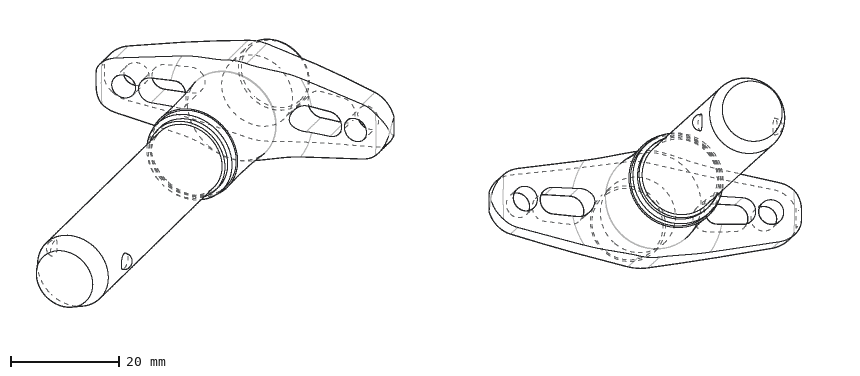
import cadquery as cq
import math


total_length = 96.8
pin_radius = 7.2
tip_radius = 5.7
tip_taper_length = 3.9
button_edge = 0.4

ball_radius = 1.5
ball_y = 11.4
ball_reach = 8.5

lip_radius = 7.7
lip_y = 56.2
step_radius = 8.6
step_y = 57.5
grip_bottom_radius = 8.9
grip_bottom_y = 59.4
grip_waist_radius = 8.8
grip_top_radius = 9.2
grip_top_y = 76.3

handle_span = 59.1
handle_half_span = handle_span / 2
handle_middle_radius = 10.2
handle_end_radius = 5.7
handle_crown_y = 88.8
crown_drop = 3.8
end_face_inset = 0.3
underside_end_y = 80.0
underside_angle = math.radians(5)
end_fillet = 2.1
end_face_lower_y = 82.7

bar_margin = 1.0
bar_bottom_allowance = 0.06
disc_radius = handle_half_span + 4.8

flare_radius = 4.8

hole_x = 23.4
hole_radius = 2.3
slot_outer_x = 18.0
slot_outer_radius = 2.5
slot_inner_x = 13.1
slot_inner_diameter = 5.3
slot_inner_radius = slot_inner_diameter / 2


def underside_y(x):
    """Height of the sloping handle underside at radius x from the axis."""
    return underside_end_y + (handle_half_span - x) * math.tan(underside_angle)


flare_center_x = grip_top_radius + flare_radius
flare_center_y = underside_y(flare_center_x) - flare_radius / math.cos(underside_angle)


def on_flare(angle):
    """Point on the flare arc, at an angle from the outward radial direction."""
    return (
        flare_center_x + flare_radius * math.cos(angle),
        flare_center_y + flare_radius * math.sin(angle),
    )


def tangent_hull(x1, radius1, x2, radius2):
    """XZ outline wrapping two circles centred on the X axis, with x1 < x2."""
    cosine = (radius1 - radius2) / (x2 - x1)
    sine = math.sqrt(1 - cosine**2)
    return (
        cq.Workplane("XZ")
        .moveTo(x1 + radius1 * cosine, radius1 * sine)
        .lineTo(x2 + radius2 * cosine, radius2 * sine)
        .threePointArc((x2 + radius2, 0), (x2 + radius2 * cosine, -radius2 * sine))
        .lineTo(x1 + radius1 * cosine, -radius1 * sine)
        .threePointArc((x1 - radius1, 0), (x1 + radius1 * cosine, radius1 * sine))
        .close()
    )


def both_sides(body):
    return body.union(body.mirror("YZ"))


def full_height(outline):
    """Extrude an XZ outline along the whole length of the part."""
    return outline.extrude(-total_length)


def make_handle():
    top_end_x = handle_half_span - end_face_inset
    top_end_y = handle_crown_y - crown_drop
    crown_radius = (top_end_x**2 + crown_drop**2) / (2 * crown_drop)
    middle_x = top_end_x / 2
    middle_y = handle_crown_y - crown_radius + math.sqrt(crown_radius**2 - middle_x**2)
    end_x = handle_half_span - handle_end_radius

    fillet_end_x = handle_half_span - end_fillet
    bar_bottom_y = underside_y(fillet_end_x) - bar_bottom_allowance

    half_bar = (
        cq.Workplane("XY")
        .moveTo(0, grip_top_y)
        .lineTo(0, handle_crown_y)
        .threePointArc((middle_x, middle_y), (top_end_x, top_end_y))
        .lineTo(handle_half_span, end_face_lower_y)
        .lineTo(handle_half_span, bar_bottom_y + end_fillet)
        .tangentArcPoint((fillet_end_x, bar_bottom_y), relative=False)
        .lineTo(end_x, bar_bottom_y)
        .lineTo(end_x, grip_top_y)
        .close()
        .extrude(handle_middle_radius + bar_margin, both=True)
    )

    disc = (
        cq.Workplane("XY")
        .moveTo(0, grip_top_y)
        .lineTo(grip_top_radius, grip_top_y)
        .lineTo(*on_flare(math.pi))
        .threePointArc(on_flare(math.radians(135)), on_flare(math.pi / 2 - underside_angle))
        .lineTo(disc_radius, underside_y(disc_radius))
        .lineTo(disc_radius, total_length)
        .lineTo(0, total_length)
        .close()
        .revolve(360, (0, 0, 0), (0, 1, 0))
    )
    arm = full_height(tangent_hull(0, handle_middle_radius, end_x, handle_end_radius))
    return disc.intersect(both_sides(arm)).intersect(both_sides(half_bar))


def make_openings():
    slot = full_height(tangent_hull(slot_inner_x, slot_inner_radius, slot_outer_x, slot_outer_radius))
    hole = full_height(cq.Workplane("XZ").center(hole_x, 0).circle(hole_radius))
    return both_sides(slot.union(hole))


def make_pin_and_collar():
    return (
        cq.Workplane("XY")
        .lineTo(tip_radius, 0)
        .lineTo(pin_radius, tip_taper_length)
        .lineTo(pin_radius, lip_y)
        .lineTo(lip_radius, lip_y)
        .lineTo(lip_radius, step_y)
        .lineTo(step_radius, step_y)
        .lineTo(step_radius, grip_bottom_y)
        .lineTo(grip_bottom_radius, grip_bottom_y)
        .threePointArc(
            (grip_waist_radius, (grip_bottom_y + grip_top_y) / 2),
            (grip_top_radius, grip_top_y),
        )
        .lineTo(pin_radius, grip_top_y)
        .lineTo(pin_radius, total_length - button_edge)
        .lineTo(pin_radius - button_edge, total_length)
        .lineTo(0, total_length)
        .close()
        .revolve(360, (0, 0, 0), (0, 1, 0))
    )


def make_balls():
    ball = cq.Workplane("XY").sphere(ball_radius)
    return both_sides(ball.translate((ball_reach - ball_radius, ball_y, 0)))


handle = make_handle().cut(make_openings())
result = make_pin_and_collar().union(handle).union(make_balls())